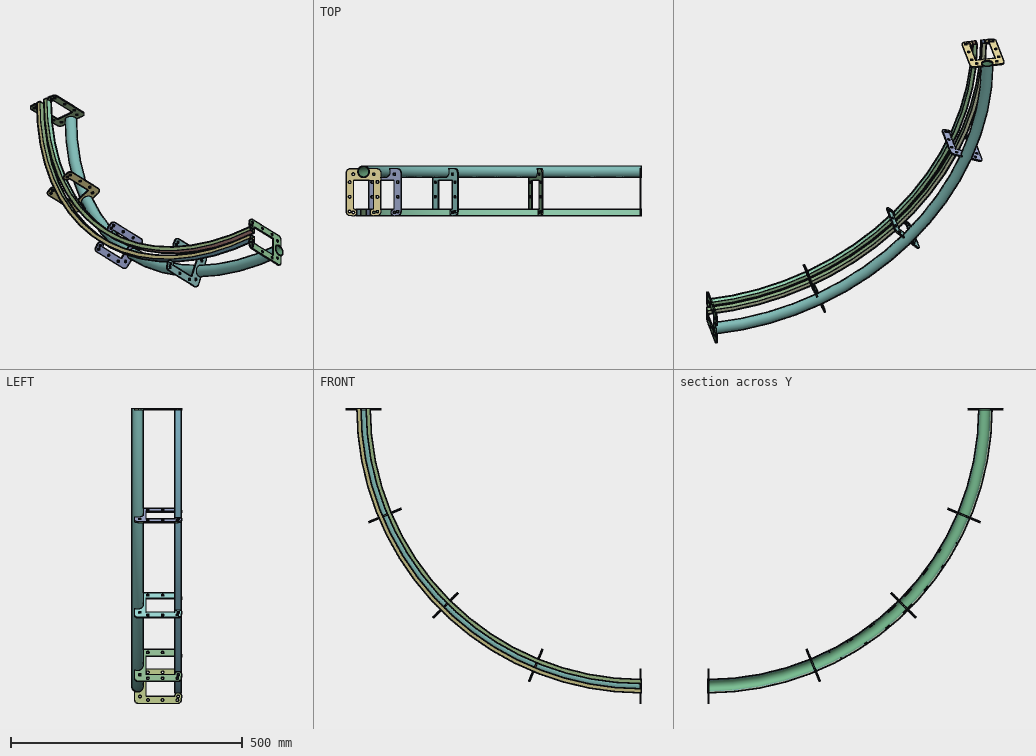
import cadquery as cq
bend_radius = 600.0
bend_angle = 90.0
bend_axis_start = (bend_radius, 0, bend_radius)
bend_axis_end = (bend_radius, -1, bend_radius)

tube_diameter = 25.4
tube_wall = 1.5

rail_width = 10.0
rail_depth = 15.0
rail_wall = 1.2
rail_gap = 10.0
rail_center_y = -87.9
rail_offsets = [side * (rail_gap + rail_width) / 2 for side in (-1, 1)]

plate_count = 5
plate_width = 75.0
plate_thickness = 3.0
station_inset = 0.3
plate_top_y = 6.5
plate_bottom_y = -95.0
corner_radius = 8.5
window_width = 43.0
window_top_y = -18.75
lobe_radius = 8.0
lobe_y = -88.0

hole_diameter = 5.5
inner_hole_offset = 22.2
outer_hole_offset = 30.0
upper_hole_y = -5.25
first_side_hole_y = -22.5
side_hole_spacing = 31.8
side_hole_count = 3


def sweep_along_bend(profile):
    """Turn a profile drawn in the XY plane, with x = 0 on the bend line, through the bend."""
    swept = profile.revolve(bend_angle, (bend_radius, 0, 0), (bend_radius, -1, 0))
    return swept.translate((0, 0, bend_radius))


def tube_profile(diameter):
    return cq.Workplane("XY").circle(diameter / 2)


def rail_profile(offset, width, depth):
    return cq.Workplane("XY").pushPoints([(offset, rail_center_y)]).rect(width, depth)


def make_tube_envelope():
    """Main tube without its bore."""
    return sweep_along_bend(tube_profile(tube_diameter))


def make_tube():
    bore = sweep_along_bend(tube_profile(tube_diameter - 2 * tube_wall))
    return make_tube_envelope().cut(bore)


def make_rail_envelope(offset):
    """Rail without its bore."""
    return sweep_along_bend(rail_profile(offset, rail_width, rail_depth))


def make_rail(offset):
    bore = sweep_along_bend(rail_profile(offset, rail_width - 2 * rail_wall, rail_depth - 2 * rail_wall))
    return make_rail_envelope(offset).cut(bore)


def make_plate_blank():
    """Spacer plate lying in the XY plane, from z = 0 down, before the bend members are cut out."""
    height = plate_top_y - plate_bottom_y
    plate = (
        cq.Workplane("XY")
        .center(0, (plate_top_y + plate_bottom_y) / 2)
        .rect(plate_width, height)
        .extrude(-plate_thickness)
        .edges("|Z")
        .fillet(corner_radius)
    )
    window_height = window_top_y - plate_bottom_y
    window = (
        cq.Workplane("XY")
        .center(0, window_top_y - window_height / 2)
        .rect(window_width, window_height)
        .extrude(-plate_thickness)
    )
    lobe_centers = [(side * inner_hole_offset, lobe_y) for side in (-1, 1)]
    lobes = cq.Workplane("XY").pushPoints(lobe_centers).circle(lobe_radius).extrude(-plate_thickness)

    side_hole_ys = [first_side_hole_y - side_hole_spacing * i for i in range(side_hole_count)]
    hole_centers = lobe_centers + [(side * inner_hole_offset, upper_hole_y) for side in (-1, 1)]
    hole_centers += [(side * outer_hole_offset, y) for side in (-1, 1) for y in side_hole_ys]
    holes = (
        cq.Workplane("XY").pushPoints(hole_centers).circle(hole_diameter / 2).extrude(-plate_thickness)
    )
    return plate.cut(window).union(lobes).cut(holes)


def make_plate(index):
    """Spacer plate at its station on the bend, cut to fit around the tube and the rails."""
    last = plate_count - 1
    shift = plate_thickness + station_inset if index == last else -station_inset
    plate = (
        make_plate_blank()
        .translate((0, 0, bend_radius + shift))
        .rotate(bend_axis_start, bend_axis_end, bend_angle * index / last)
    )
    plate = plate.cut(make_tube_envelope())
    for offset in rail_offsets:
        plate = plate.cut(make_rail_envelope(offset))
    return plate


tube = make_tube()
rails = [make_rail(offset) for offset in rail_offsets]
plates = [make_plate(index) for index in range(plate_count)]

result = cq.Compound.makeCompound(
    [tube.val()] + [rail.val() for rail in rails] + [plate.val() for plate in plates]
)